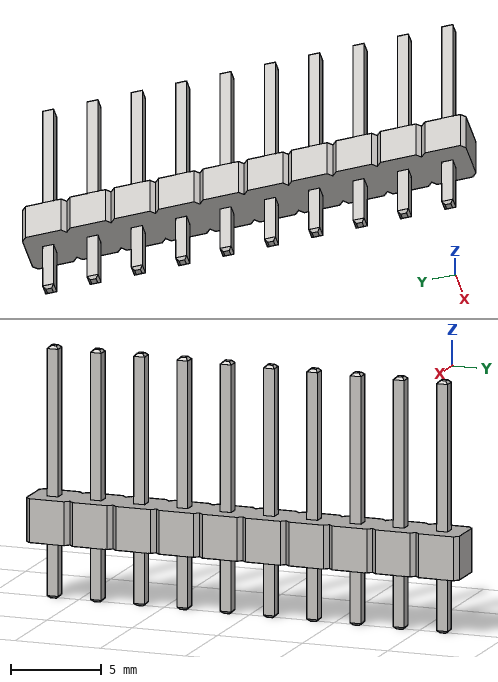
import cadquery as cq

pin_count = 10
strip_length = 25.4
strip_width = 2.5
strip_height = strip_width
corner_chamfer = 0.25

pin_side = 0.64
pin_rise = 8.5
pin_drop = 3.3
tip_chamfer = 0.15

pitch = strip_length / pin_count
pin_length = pin_drop + strip_height + pin_rise
first_pin_y = (pitch - strip_length) / 2
pin_places = [(0, first_pin_y + i * pitch) for i in range(pin_count)]


def insulator_strip():
    """Blocks joined end to end; their chamfered corners form the V notches."""
    block = cq.Workplane("XY").box(strip_width, pitch, strip_height, centered=(True, True, False))
    block = block.edges("|Z").chamfer(corner_chamfer)
    return cq.Workplane("XY").pushPoints(pin_places).eachpoint(block.val(), combine=True)


def pins():
    """Square pins running through the strip, chamfered at both tips."""
    pin = cq.Workplane("XY").box(pin_side, pin_side, pin_length, centered=(True, True, False))
    pin = pin.faces("<Z or >Z").chamfer(tip_chamfer).translate((0, 0, -pin_drop))
    return cq.Workplane("XY").pushPoints(pin_places).eachpoint(pin.val(), combine=True)


result = insulator_strip().union(pins())